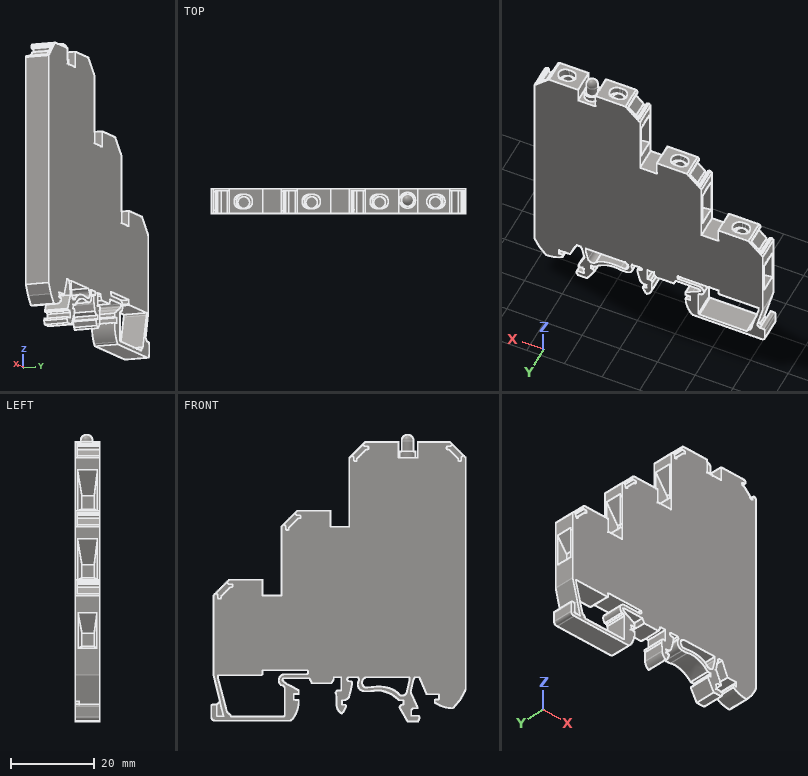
import cadquery as cq
import math


THICKNESS = 6.0
RIGHT_X = 61.2
TOTAL_HEIGHT = 68.99

LEVEL_COUNT = 3
FIRST_WALL_X = 0.53
LEVEL_PITCH_X = 16.32
FIRST_TOP_Z = 34.15
LEVEL_PITCH_Z = 16.54
LEVEL_TOP_WIDTH = 11.85
STEP_DEPTH = 3.8
CHAMFER = 3.85
LED_NOTCH_WIDTH = 4.6

level_walls = [FIRST_WALL_X + i * LEVEL_PITCH_X for i in range(LEVEL_COUNT)]
level_tops = [FIRST_TOP_Z + i * LEVEL_PITCH_Z for i in range(LEVEL_COUNT)]
top_z = level_tops[-1]
led_notch_x = level_walls[-1] + LEVEL_TOP_WIDTH
led_notch_floor = top_z - STEP_DEPTH

GROOVE_LENGTH_Y = 5.45
GROOVE_NEAR = 1.09
GROOVE_FAR = 1.85
GROOVE_BEVEL = 0.3
GROOVE_MOUTH = 3.4
GROOVE_UNDERCUT = 4.67
GROOVE_SHOULDER = 4.05

RECESS_NEAR = 5.0
RECESS_LENGTH = 4.4
RECESS_WIDTH = 3.4
RECESS_Y = 2.9
RECESS_DEPTH = 2.0
RECESS_SLANT = 0.5
SCREW_HOLE_X = 7.3
SCREW_HOLE_Y = 2.65
SCREW_HOLE_DIA = 2.8
SCREW_HOLE_DEPTH = 6.0

FUNNEL_CENTRE_Y = 3.0
FUNNEL_FLOOR_Y = 2.87
FUNNEL_FLOOR_WIDTH = 2.95
FUNNEL_FLOOR_HEIGHT = 3.2
FUNNEL_SILL = 0.5
LOW_FUNNEL_TOP_Z = 26.2
LOW_FUNNEL_HEIGHT = 8.6
LOW_FUNNEL_WIDTH = 4.55
LOW_FUNNEL_DEPTH = 2.1
UPPER_FUNNEL_TOP_Z = 43.95
UPPER_FUNNEL_HEIGHT = 9.9
UPPER_FUNNEL_WIDTH = 4.8
UPPER_FUNNEL_DEPTH = 2.7

LED_X = 47.2
LED_Y = 3.2
LED_DIA = 2.9
LED_FLANGE_DIA = 3.8
LED_FLANGE_HEIGHT = 1.5

SOFFIT_Z = 10.65
LEFT_SOFFIT_Z = 11.1
ROOT_OVERLAP = 0.3

POCKET_LENGTH_Y = 5.0
POCKET_BEVEL = 0.3
LEG_TOP_Z = 11.25
LEG_SLOPE = 0.245
CLIP_BASE_Z = 0.22
CLIP_FLOOR_Z = 1.25
LIP_THICKNESS = 1.3
LIP_TOP_Z = 4.15
LIP_TOP_RADIUS = 0.45
WEB_TOP_Z = 4.9


def plate(profile, length=THICKNESS):
    """Extrude a closed XZ profile from the -Y face towards +Y."""
    return profile.close().extrude(-length)


def leg_x(z):
    """X of the outer face of the clip leg at height z."""
    return level_walls[0] + LEG_SLOPE * (LEG_TOP_Z - z)


def main_body():
    """Stepped plate with chamfered levels, the LED notch and the heel on the right."""
    right_wall_bottom = 7.75
    slot_top = 12.35
    profile = cq.Workplane("XZ").moveTo(level_walls[0], LEG_TOP_Z)
    for i in range(LEVEL_COUNT):
        wall_x, level_top = level_walls[i], level_tops[i]
        step_x = wall_x + LEVEL_TOP_WIDTH
        step_z = level_top - STEP_DEPTH
        profile = (
            profile.lineTo(wall_x, level_top - CHAMFER)
            .lineTo(wall_x + CHAMFER, level_top)
            .lineTo(step_x, level_top)
            .lineTo(step_x, step_z)
        )
        if i < LEVEL_COUNT - 1:
            profile = profile.lineTo(level_walls[i + 1], step_z)
    profile = (
        profile.lineTo(led_notch_x + LED_NOTCH_WIDTH, led_notch_floor)
        .lineTo(led_notch_x + LED_NOTCH_WIDTH, top_z)
        .lineTo(RIGHT_X - CHAMFER, top_z)
        .lineTo(RIGHT_X, top_z - CHAMFER)
        .lineTo(RIGHT_X, right_wall_bottom)
        .lineTo(59.9, 5.3)
        .lineTo(58.1, 3.2)
        .threePointArc((55.8, 3.55), (53.7, 4.6))
        .lineTo(53.7, 5.3)
        .lineTo(54.7, 5.4)
        .lineTo(54.7, 6.55)
        .lineTo(51.75, 6.55)
        .lineTo(50.0, SOFFIT_Z)
        .lineTo(29.5, SOFFIT_Z)
        .lineTo(29.5, 10.15)
        .lineTo(28.9, 9.2)
        .lineTo(24.2, 9.2)
        .lineTo(23.6, 10.4)
        .lineTo(22.9, 10.4)
        .lineTo(22.9, 11.4)
        .threePointArc((23.3, 11.9), (23.1, slot_top))
        .lineTo(12.35, slot_top)
        .lineTo(12.35, 11.35)
        .lineTo(12.0, LEFT_SOFFIT_Z)
        .lineTo(level_walls[0] + 1, LEFT_SOFFIT_Z)
    )
    return plate(profile)


def clip_foot():
    """Sprung rail clip: slanted leg, base, claw and the U-shaped arm back to the plate."""
    root_z = LEFT_SOFFIT_Z + ROOT_OVERLAP
    top_arc_offset = LIP_TOP_RADIUS * (1 - math.sqrt(0.5))
    profile = (
        cq.Workplane("XZ")
        .moveTo(level_walls[0], root_z)
        .lineTo(level_walls[0], LEG_TOP_Z)
        .lineTo(leg_x(WEB_TOP_Z), WEB_TOP_Z)
        .lineTo(1.65, 4.4)
        .lineTo(LIP_THICKNESS, LIP_TOP_Z)
        .lineTo(LIP_TOP_RADIUS, LIP_TOP_Z)
        .threePointArc((top_arc_offset, LIP_TOP_Z - top_arc_offset), (0, LIP_TOP_Z - LIP_TOP_RADIUS))
        .lineTo(0, 1.2)
        .threePointArc((0.25, 0.5), (0.95, CLIP_BASE_Z))
        .lineTo(19.1, CLIP_BASE_Z)
        .lineTo(19.7, 0.75)
        .threePointArc((20.75, 2.85), (21.1, 5.2))
        .lineTo(19.85, 5.3)
        .lineTo(19.85, 6.6)
        .lineTo(21.1, 6.6)
        .lineTo(21.1, 7.5)
        .lineTo(19.3, 8.55)
        .lineTo(18.2, 9.05)
        .lineTo(17.3, 9.75)
        .threePointArc((17.2, 10.15), (17.6, 10.4))
        .lineTo(23.9, 10.4)
        .lineTo(23.9, 11.4)
        .lineTo(17.4, 11.4)
        .threePointArc((16.25, 10.2), (16.8, 8.75))
        .lineTo(17.35, 8.65)
        .lineTo(17.65, 8.2)
        .lineTo(17.65, 1.5)
        .lineTo(17.4, CLIP_FLOOR_Z)
        .lineTo(4.8, CLIP_FLOOR_Z)
        .lineTo(4.6, 1.7)
        .lineTo(3.85, 2.3)
        .lineTo(1.65, 10.6)
        .lineTo(1.65, root_z)
    )
    pocket = (
        cq.Workplane("XZ")
        .moveTo(LIP_THICKNESS, WEB_TOP_Z)
        .lineTo(LIP_THICKNESS, CLIP_FLOOR_Z + POCKET_BEVEL)
        .lineTo(LIP_THICKNESS + POCKET_BEVEL, CLIP_FLOOR_Z)
        .lineTo(leg_x(CLIP_FLOOR_Z), CLIP_FLOOR_Z)
        .lineTo(leg_x(WEB_TOP_Z), WEB_TOP_Z)
    )
    return plate(profile).cut(plate(pocket, POCKET_LENGTH_Y))


def middle_hook():
    """Short barbed hook hanging from the middle of the underside."""
    root_z = SOFFIT_Z + ROOT_OVERLAP
    profile = (
        cq.Workplane("XZ")
        .moveTo(31.2, root_z)
        .lineTo(31.2, 7.5)
        .lineTo(30.3, 7.5)
        .lineTo(29.8, 7.0)
        .lineTo(30.05, 6.5)
        .lineTo(30.1, 4.0)
        .threePointArc((30.5, 2.75), (31.35, 1.95))
        .lineTo(31.9, 2.5)
        .lineTo(32.5, 3.8)
        .lineTo(32.2, 4.1)
        .lineTo(31.45, 4.1)
        .lineTo(31.45, 5.1)
        .threePointArc((32.4, 5.25), (33.1, 5.8))
        .lineTo(33.6, 7.6)
        .lineTo(33.95, 9.4)
        .lineTo(33.6, 9.75)
        .lineTo(33.1, 9.75)
        .threePointArc((32.7, 10.2), (33.1, SOFFIT_Z))
        .lineTo(33.1, root_z)
    )
    return plate(profile)


def spring_foot():
    """Right-hand rail foot: curved spring strip and a straight strut meeting at a claw."""
    root_z = SOFFIT_Z + ROOT_OVERLAP
    profile = (
        cq.Workplane("XZ")
        .moveTo(35.3, root_z)
        .lineTo(35.3, SOFFIT_Z)
        .lineTo(35.55, 10.1)
        .lineTo(35.35, 9.6)
        .threePointArc((35.5, 8.0), (36.7, 7.3))
        .lineTo(38.3, 7.3)
        .spline([(40.7, 7.5), (43.3, 6.6), (45.2, 5.1)], includeCurrent=True)
        .lineTo(46.2, 5.1)
        .lineTo(46.2, 4.15)
        .lineTo(45.7, 4.1)
        .lineTo(45.2, 3.5)
        .lineTo(47.2, 0)
        .lineTo(49.7, 0)
        .lineTo(50.15, 0.9)
        .lineTo(49.9, 1.45)
        .lineTo(48.1, 1.45)
        .lineTo(48.1, 2.8)
        .lineTo(48.5, 3.2)
        .lineTo(49.6, 3.2)
        .lineTo(49.6, 3.5)
        .lineTo(47.95, 7.1)
        .lineTo(48.6, 10.0)
        .lineTo(48.95, SOFFIT_Z)
        .lineTo(48.95, root_z)
        .lineTo(47.6, root_z)
        .lineTo(47.6, 9.8)
        .lineTo(47.0, 7.2)
        .threePointArc((46.1, 6.3), (44.9, 6.9))
        .spline([(43.3, 7.9), (40.9, 8.45), (38.3, 8.3)], includeCurrent=True)
        .lineTo(37.0, 8.25)
        .threePointArc((36.3, 9.2), (37.2, SOFFIT_Z))
        .lineTo(37.2, root_z)
    )
    return plate(profile)


def marker_groove(corner_x, corner_z, inward):
    """Undercut groove across a chamfer; inward is +1 or -1 along X from the level corner."""
    ear_mid = (GROOVE_NEAR + GROOVE_FAR) / 2
    ear_start = GROOVE_UNDERCUT - (GROOVE_FAR - GROOVE_NEAR) / 2

    def at(along, down):
        return corner_x + inward * along, corner_z - down

    profile = (
        cq.Workplane("XZ")
        .moveTo(*at(0, GROOVE_MOUTH))
        .lineTo(*at(GROOVE_NEAR - GROOVE_BEVEL, GROOVE_MOUTH))
        .lineTo(*at(GROOVE_NEAR, GROOVE_MOUTH + GROOVE_BEVEL))
        .lineTo(*at(GROOVE_NEAR, ear_start))
        .threePointArc(at(ear_mid, GROOVE_UNDERCUT), at(GROOVE_FAR, ear_start))
        .lineTo(*at(GROOVE_FAR, GROOVE_SHOULDER))
        .lineTo(*at(GROOVE_SHOULDER, GROOVE_FAR))
        .lineTo(*at(ear_start, GROOVE_FAR))
        .threePointArc(at(GROOVE_UNDERCUT, ear_mid), at(ear_start, GROOVE_NEAR))
        .lineTo(*at(GROOVE_MOUTH + GROOVE_BEVEL, GROOVE_NEAR))
        .lineTo(*at(GROOVE_MOUTH, GROOVE_NEAR - GROOVE_BEVEL))
        .lineTo(*at(GROOVE_MOUTH, 0))
    )
    return plate(profile, GROOVE_LENGTH_Y)


def screw_recess(wall_x, level_top, inward):
    """Obround recess with a slanted near end, and the round screw hole in its floor."""
    far_end = RECESS_NEAR + RECESS_LENGTH

    def obround(near_end):
        length = far_end - near_end
        centre_x = wall_x + inward * (near_end + far_end) / 2
        return centre_x, length

    rim_x, rim_length = obround(RECESS_NEAR)
    floor_x, floor_length = obround(RECESS_NEAR + RECESS_SLANT)
    recess = (
        cq.Workplane("XY", origin=(rim_x, RECESS_Y, level_top))
        .slot2D(rim_length, RECESS_WIDTH)
        .workplane(offset=-RECESS_DEPTH)
        .center(floor_x - rim_x, 0)
        .slot2D(floor_length, RECESS_WIDTH)
        .loft(ruled=True)
    )
    hole_x = wall_x + inward * SCREW_HOLE_X
    hole = (
        cq.Workplane("XY", origin=(hole_x, SCREW_HOLE_Y, level_top))
        .circle(SCREW_HOLE_DIA / 2)
        .extrude(-SCREW_HOLE_DEPTH)
    )
    return recess.union(hole)


def wire_funnel(wall_x, mouth_top, mouth_height, mouth_width, depth):
    """Tapered rectangular wire entry, cut into an entry wall along +X."""
    mouth_z = mouth_top - mouth_height / 2
    floor_z = mouth_top - mouth_height + FUNNEL_SILL + FUNNEL_FLOOR_HEIGHT / 2
    return (
        cq.Workplane("YZ", origin=(wall_x, FUNNEL_CENTRE_Y, mouth_z))
        .rect(mouth_width, mouth_height)
        .workplane(offset=depth)
        .center(FUNNEL_FLOOR_Y - FUNNEL_CENTRE_Y, floor_z - mouth_z)
        .rect(FUNNEL_FLOOR_WIDTH, FUNNEL_FLOOR_HEIGHT)
        .loft(ruled=True)
    )


def led():
    """Flanged LED with a domed tip, standing in the notch of the top level."""
    radius = LED_DIA / 2
    flange_radius = LED_FLANGE_DIA / 2
    flange_top = led_notch_floor + LED_FLANGE_HEIGHT
    dome_base = TOTAL_HEIGHT - radius
    dome_mid = radius * math.sqrt(0.5)
    return (
        cq.Workplane("XZ", origin=(LED_X, LED_Y, 0))
        .moveTo(0, led_notch_floor - ROOT_OVERLAP)
        .lineTo(flange_radius, led_notch_floor - ROOT_OVERLAP)
        .lineTo(flange_radius, flange_top)
        .lineTo(radius, flange_top)
        .lineTo(radius, dome_base)
        .threePointArc((dome_mid, dome_base + dome_mid), (0, TOTAL_HEIGHT))
        .close()
        .revolve(360, (0, 0, 0), (0, 1, 0))
    )


result = main_body()
for foot in (clip_foot(), middle_hook(), spring_foot()):
    result = result.union(foot)

terminals = [(x, z, 1) for x, z in zip(level_walls, level_tops)]
terminals.append((RIGHT_X, top_z, -1))
for wall_x, level_top, inward in terminals:
    result = result.cut(marker_groove(wall_x, level_top, inward))
    result = result.cut(screw_recess(wall_x, level_top, inward))

low_funnel = wire_funnel(
    level_walls[0], LOW_FUNNEL_TOP_Z, LOW_FUNNEL_HEIGHT, LOW_FUNNEL_WIDTH, LOW_FUNNEL_DEPTH
)
result = result.cut(low_funnel)
for i, wall_x in enumerate(level_walls[1:]):
    mouth_top = UPPER_FUNNEL_TOP_Z + i * LEVEL_PITCH_Z
    upper_funnel = wire_funnel(
        wall_x, mouth_top, UPPER_FUNNEL_HEIGHT, UPPER_FUNNEL_WIDTH, UPPER_FUNNEL_DEPTH
    )
    result = result.cut(upper_funnel)

result = result.union(led())